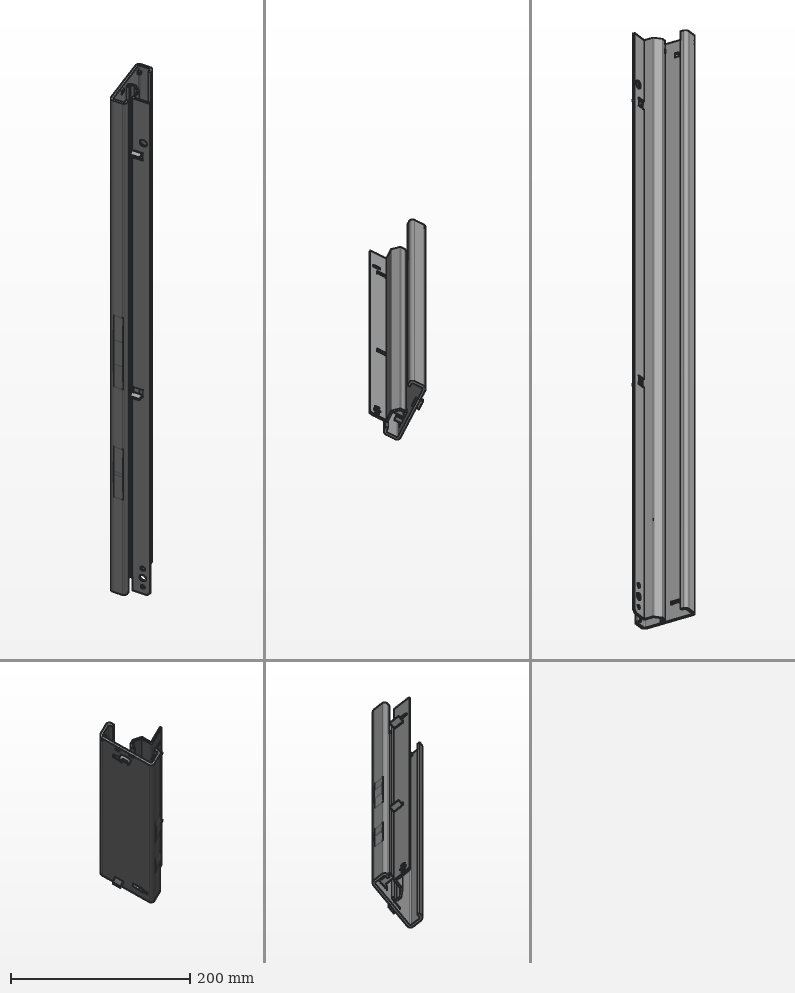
import cadquery as cq

LENGTH = 730.0
WIDTH = 50.0
DEPTH = 71.0

SHEET = 3.1
CHANNEL_RISE = 1.5
WEB_X = 6.0
BUMP_HEIGHT = 1.5
CHANNEL_WIDTH = 20.5
LIP_LENGTH = 8.0
CORNER_RADIUS = 4.5
WEB_INNER_X = WEB_X + SHEET
LIP_X = WEB_X + CHANNEL_WIDTH

RAMP_X = 12.0
RAMP_WIDTH = 12.0
LONG_RAMP = (306.5, 342.0, 377.5, 412.5)
SHORT_RAMP = (143.0, 178.0, 182.5, 217.5)

LOCK_SLOT = (29.0, 721.0, 6.0, 4.5)
SQUARE_HOLE = (47.0, 712.5, 5.0, 5.0)
CORNER_HOLE = (68.0, 721.0, 5.0, 4.5)
CORNER_TAB_LENGTH = 4.0
CORNER_TAB_HEIGHT = 2.0

HOOK_Y = 36.0
HOOK_Z = 698.0
HOOK_RADIUS = 6.5
HOOK_SHEET = 2.0
TONGUE_TOP_Y = 50.0
TONGUE_HEIGHT = 6.0

LANCE_Y = 44.5
LANCE_WIDTH = 10.0
LANCE_DROP = 4.0
LANCE_ROOTS = (33.5, 27.0)
LANCE_WINDOW = (LANCE_Y, 24.0, LANCE_WIDTH, 6.0)

WINDOW_BOTTOM = 36.5
WINDOW_SPLIT_Y = 15.0
WINDOW_TOP_Y = 27.0
WINDOW_BOTTOM_Y = 8.0
WINDOW_TALL = 14.5
WINDOW_SHORT = 10.0
WINDOW_POINT = 4.0
TAB_SHEET = 3.0
UPPER_TAB = (12.0, 17.0, 24.0)
LOWER_TAB = (7.0, 10.0, 15.0)

RAIL_SHEET = 2.0
HOOK_EDGE = (14.0, 30.0)
HOOK_TOP = (14.0, 33.5)
CREST = (16.0, 35.0)
SHOULDER = (21.0, 35.0)
RAIL_WEB_X = 28.5
RAIL_WEB_TOP = 28.5
FLANGE_Y = 16.0
FLANGE_CUT = 4.0

FLANGE_HOLES = ((41.5, 669.0, 9.5), (41.0, 37.0, 6.0), (41.0, 23.0, 9.0), (41.0, 10.0, 5.0))

OPENING_END_X = 41.0
OPENING_HEIGHT = 10.0
UPPER_OPENING_Z = 642.5
LOWER_OPENING_Z = 292.0
STOP_SHEET = 2.0
STOP_END_X = 40.0
STOP_EDGE_Y = 8.0


def box(x_range, y_range, z_range):
    """Block between two corners, given as a range along each axis."""
    (x0, x1), (y0, y1), (z0, z1) = x_range, y_range, z_range
    return cq.Workplane("XY").box(x1 - x0, y1 - y0, z1 - z0, centered=False).translate((x0, y0, z0))


def web_hole(y, z, y_size, z_size):
    """Rectangular cutter through the channel web."""
    return box((0, WEB_INNER_X), (y - y_size / 2, y + y_size / 2), (z - z_size / 2, z + z_size / 2))


def channel_profile():
    """C-shaped sheet with two inward lips, drawn out along Z."""
    height = LENGTH - CHANNEL_RISE
    depth = DEPTH - BUMP_HEIGHT
    middle = (WEB_X + CHANNEL_WIDTH / 2, BUMP_HEIGHT + depth / 2)
    outer = cq.Workplane("XY", origin=(*middle, CHANNEL_RISE)).rect(CHANNEL_WIDTH, depth).extrude(height)
    outer = outer.edges("|Z").fillet(CORNER_RADIUS)
    inner = cq.Workplane("XY", origin=(*middle, CHANNEL_RISE))
    inner = inner.rect(CHANNEL_WIDTH - 2 * SHEET, depth - 2 * SHEET).extrude(height)
    inner = inner.edges("|Z").fillet(CORNER_RADIUS - SHEET)
    mouth = box(
        (LIP_X - CORNER_RADIUS, LIP_X),
        (BUMP_HEIGHT + LIP_LENGTH, DEPTH - LIP_LENGTH),
        (CHANNEL_RISE, LENGTH),
    )
    return outer.cut(inner).cut(mouth)


def ramp(bottom, crest_bottom, crest_top, top):
    """Long low bump on the outside of the lower flange."""
    points = [(BUMP_HEIGHT, bottom), (0, crest_bottom), (0, crest_top), (BUMP_HEIGHT, top)]
    base_y = BUMP_HEIGHT + SHEET / 2
    points = [(base_y, bottom), *points, (base_y, top)]
    return cq.Workplane("YZ", origin=(RAMP_X, 0, 0)).polyline(points).close().extrude(RAMP_WIDTH)


def upper_hook():
    """Round pressing, open to -X between its two lips, with a tongue toward +Y."""
    low_y = HOOK_Y - HOOK_RADIUS
    high_y = HOOK_Y + HOOK_RADIUS
    lip = [
        (WEB_X, HOOK_Y - HOOK_SHEET), (0, low_y + HOOK_SHEET / 2), (0, low_y), (WEB_X, low_y),
    ]
    section = cq.Workplane("XY").polyline(lip).close().extrude(LENGTH)
    section = section.union(box((HOOK_SHEET, WEB_X), (low_y, high_y), (0, LENGTH)))
    section = section.union(box((0, WEB_X), (high_y - 2 * HOOK_SHEET, high_y), (0, LENGTH)))
    disc = cq.Workplane("YZ", origin=(0, HOOK_Y, HOOK_Z)).circle(HOOK_RADIUS).extrude(WEB_X)
    tongue = box(
        (0, HOOK_SHEET),
        (HOOK_Y + HOOK_RADIUS / 2, TONGUE_TOP_Y),
        (HOOK_Z - TONGUE_HEIGHT / 2, HOOK_Z + TONGUE_HEIGHT / 2),
    )
    return section.intersect(disc).union(tongue)


def lance(root_z):
    """Tab sloping outwards and down from the web."""
    points = [
        (WEB_INNER_X, root_z), (WEB_X, root_z), (0, root_z - LANCE_DROP),
        (0, root_z - LANCE_DROP - HOOK_SHEET), (WEB_X, root_z - HOOK_SHEET),
        (WEB_INNER_X, root_z - HOOK_SHEET),
    ]
    plane = cq.Workplane("XZ", origin=(0, LANCE_Y + LANCE_WIDTH / 2, 0))
    return plane.polyline(points).close().extrude(LANCE_WIDTH)


def stepped_window():
    """Cutter for the window near the lower end, pointed at its bottom."""
    outline = [
        (WINDOW_BOTTOM_Y, WINDOW_BOTTOM),
        (WINDOW_BOTTOM_Y, WINDOW_BOTTOM + WINDOW_SHORT),
        (WINDOW_SPLIT_Y, WINDOW_BOTTOM + WINDOW_SHORT),
        (WINDOW_SPLIT_Y, WINDOW_BOTTOM + WINDOW_TALL),
        (WINDOW_TOP_Y, WINDOW_BOTTOM + WINDOW_TALL),
        (WINDOW_TOP_Y, WINDOW_BOTTOM),
        (WINDOW_SPLIT_Y + WINDOW_POINT, WINDOW_BOTTOM),
        (WINDOW_SPLIT_Y, WINDOW_BOTTOM - WINDOW_POINT),
        (WINDOW_SPLIT_Y - WINDOW_POINT, WINDOW_BOTTOM),
    ]
    return cq.Workplane("YZ").polyline(outline).close().extrude(WEB_INNER_X)


def inward_tab(reach, low_y, high_y, low_z):
    """Plate standing inwards from the web along a window edge."""
    return box((WEB_X, WEB_INNER_X + reach), (low_y, high_y), (low_z, low_z + TAB_SHEET))


def make_channel():
    channel = channel_profile()
    for heights in (LONG_RAMP, SHORT_RAMP):
        channel = channel.union(ramp(*heights))
    for hole in (LOCK_SLOT, SQUARE_HOLE, CORNER_HOLE, LANCE_WINDOW):
        channel = channel.cut(web_hole(*hole))
    channel = channel.cut(stepped_window())
    corner_y, corner_z, corner_size, _ = CORNER_HOLE
    corner_tab = box(
        (WEB_X + SHEET / 2, WEB_INNER_X + CORNER_TAB_LENGTH),
        (corner_y - corner_size / 2 - CORNER_TAB_HEIGHT / 2, corner_y),
        (corner_z - CORNER_TAB_HEIGHT / 2, corner_z + CORNER_TAB_HEIGHT / 2),
    )
    channel = channel.union(corner_tab)
    channel = channel.union(inward_tab(*UPPER_TAB, WINDOW_BOTTOM + WINDOW_TALL))
    channel = channel.union(inward_tab(*LOWER_TAB, WINDOW_BOTTOM + WINDOW_SHORT))
    channel = channel.union(upper_hook())
    for root_z in LANCE_ROOTS:
        channel = channel.union(lance(root_z))
    return channel


def rail_profile():
    """Bent sheet: hooked head, sloping shoulder, web and mounting flange."""
    middle = cq.Workplane("XY").moveTo(*HOOK_EDGE).lineTo(*HOOK_TOP).lineTo(*CREST).lineTo(*SHOULDER)
    middle = middle.lineTo(RAIL_WEB_X, RAIL_WEB_TOP).lineTo(RAIL_WEB_X, FLANGE_Y).lineTo(WIDTH, FLANGE_Y)
    half = RAIL_SHEET / 2
    sheet = middle.offset2D(half, "arc").extrude(LENGTH)
    return sheet.intersect(box((0, WIDTH), (0, DEPTH), (0, LENGTH)))


def opening(low_z):
    """Cutter for an opening in the flange, next to the rail web."""
    return box(
        (RAIL_WEB_X + RAIL_SHEET / 2, OPENING_END_X),
        (FLANGE_Y - RAIL_SHEET, FLANGE_Y + RAIL_SHEET),
        (low_z, low_z + OPENING_HEIGHT),
    )


def stop_tab(low_z):
    """Plate standing out from the flange toward -Y."""
    return box(
        (RAIL_WEB_X - RAIL_SHEET / 2, STOP_END_X),
        (STOP_EDGE_Y, FLANGE_Y),
        (low_z, low_z + STOP_SHEET),
    )


def make_rail():
    rail = rail_profile()
    for x, z, diameter in FLANGE_HOLES:
        drill = cq.Workplane("XZ", origin=(x, FLANGE_Y + RAIL_SHEET, z)).circle(diameter / 2)
        rail = rail.cut(drill.extrude(2 * RAIL_SHEET))
    for low_z in (UPPER_OPENING_Z, LOWER_OPENING_Z):
        rail = rail.cut(opening(low_z))
    rail = rail.union(stop_tab(UPPER_OPENING_Z + OPENING_HEIGHT - STOP_SHEET))
    rail = rail.union(stop_tab(LOWER_OPENING_Z))
    corner = cq.Workplane("XZ", origin=(0, FLANGE_Y + RAIL_SHEET, 0))
    corner = corner.polyline([(WIDTH, 0), (WIDTH, FLANGE_CUT), (WIDTH - FLANGE_CUT, 0)]).close()
    return rail.cut(corner.extrude(2 * RAIL_SHEET))


channel = make_channel()
rail = make_rail()
result = cq.Compound.makeCompound([channel.solids().val(), rail.solids().val()])